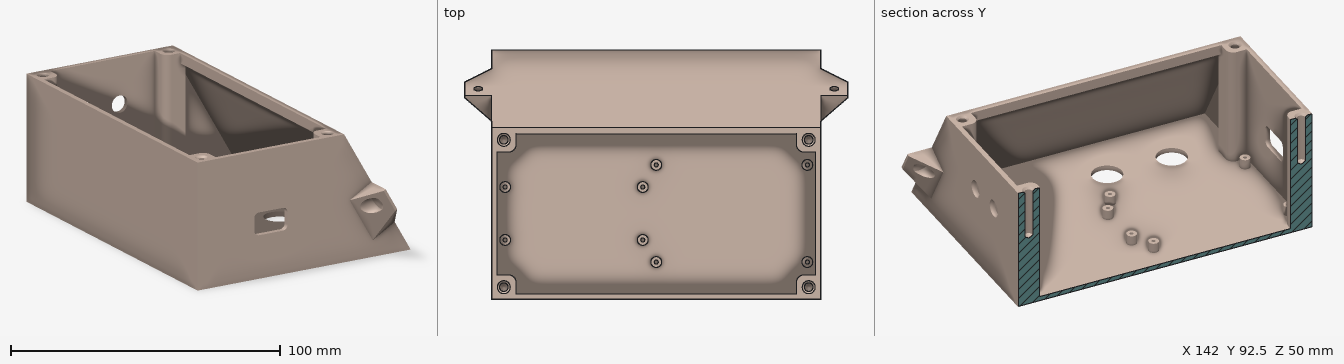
import cadquery as cq
import math

length = 122.0
height = 50.0
slope_angle = math.radians(60)
wall = 2.0
top_depth = 63.6
lip_height = 4.0

slope_run = height / math.tan(slope_angle)
base_depth = top_depth + slope_run
half_length = length / 2
slope_wall_y = wall / math.sin(slope_angle)

post_size = 9.1
post_radius = 3.0
screw_inset = 4.5
screw_diameter = 3.2
screw_depth = 20.0
screw_mouth_diameter = 4.8
screw_tip_angle = math.radians(118)

standoff_diameter = 4.0
standoff_height = 4.0
pilot_diameter = 1.5
boards = [(28.0, 56.0, 36.0), (-30.5, 51.0, 19.6)]

end_hole_diameter = 6.8
end_hole_height = 31.8
end_hole_spots = [24.3, 39.3]
floor_hole_diameter = 12.0
floor_hole_spots = [(7.9, 67.9), (34.7, 67.9)]
port_width = 14.4
port_height = 8.9
port_bottom = 17.0
port_radius = 2.0

lug_reach = 10.0
lug_root_length = 20.0
lug_tip_length = 10.0
lug_root_thickness = 11.0
lug_tip_thickness = 1.0
lug_hole_diameter = 3.2
lug_head_diameter = 6.8
lug_seat_thickness = 2.0


def slope_y(z):
    """Y of the outer sloped face at height z."""
    return base_depth - z / math.tan(slope_angle)


def extrude_along_x(points):
    """Prism between the end walls' outer faces from (Y, Z) points."""
    return cq.Workplane("YZ").polyline(points).close().extrude(half_length, both=True)


def box_between(low, high):
    """Axis-aligned box from its low corner to its high corner."""
    size = [b - a for a, b in zip(low, high)]
    return cq.Workplane("XY").box(*size, centered=False).translate(low)


def make_shell():
    outer = extrude_along_x([(0, 0), (base_depth, 0), (top_depth, height), (0, height)])
    lip_y = top_depth - slope_wall_y
    lip_z = height - lip_height
    cavity = extrude_along_x([
        (wall, wall),
        (slope_y(wall) - slope_wall_y, wall),
        (slope_y(lip_z) - slope_wall_y, lip_z),
        (lip_y, lip_z),
        (lip_y, height),
        (wall, height),
    ])
    inner_half = half_length - wall
    between_ends = box_between((-inner_half, 0, 0), (inner_half, base_depth, height))
    return outer.cut(cavity.intersect(between_ends))


def corner_spots(inset):
    """Points set in from the four corners of the top face."""
    x = half_length - inset
    return [(sx * x, y) for sx in (-1, 1) for y in (inset, top_depth - inset)]


def make_posts():
    block = (
        cq.Workplane("XY")
        .pushPoints(corner_spots(post_size / 2))
        .rect(post_size, post_size)
        .extrude(height)
    )
    inner_x = half_length - post_size
    for sx in (-1, 1):
        for y in (post_size, top_depth - post_size):
            edge = cq.selectors.NearestToPointSelector((sx * inner_x, y, height / 2))
            block = block.edges(edge).fillet(post_radius)
    return block


def cut_lid_screws(body):
    """Blind holes with a 45-degree countersunk mouth and a conical bottom."""
    mouth_depth = (screw_mouth_diameter - screw_diameter) / 2
    tip_length = screw_diameter / 2 / math.tan(screw_tip_angle / 2)
    profile = [
        (0, 0),
        (screw_mouth_diameter / 2, 0),
        (screw_diameter / 2, -mouth_depth),
        (screw_diameter / 2, -screw_depth),
        (0, -screw_depth - tip_length),
    ]
    hole = cq.Workplane("XZ").polyline(profile).close().revolve(360, (0, 0), (0, 1))
    for x, y in corner_spots(screw_inset):
        body = body.cut(hole.translate((x, y, height)))
    return body


def add_standoffs(body):
    for centre_x, spacing_x, spacing_y in boards:
        pattern = (
            cq.Workplane("XY", origin=(centre_x, top_depth / 2, wall))
            .rect(spacing_x, spacing_y, forConstruction=True)
            .vertices()
        )
        body = body.union(pattern.circle(standoff_diameter / 2).extrude(standoff_height))
        body = body.cut(pattern.circle(pilot_diameter / 2).extrude(standoff_height))
    return body


def cut_openings(body):
    port_middle = port_bottom + port_height / 2
    end_holes = (
        cq.Workplane("YZ", origin=(-half_length, 0, 0))
        .pushPoints([(y, end_hole_height) for y in end_hole_spots])
        .circle(end_hole_diameter / 2)
        .extrude(wall)
    )
    floor_holes = (
        cq.Workplane("XY")
        .pushPoints(floor_hole_spots)
        .circle(floor_hole_diameter / 2)
        .extrude(wall)
    )
    port = (
        cq.Workplane("YZ", origin=(half_length - wall, top_depth / 2, port_middle))
        .rect(port_width, port_height)
        .extrude(wall)
        .edges("|X")
        .fillet(port_radius)
    )
    return body.cut(end_holes).cut(floor_holes).cut(port)


def make_lug():
    """Lug on the +X end wall, its mounting face flush with the sloped face."""
    normal = (0, math.sin(slope_angle), math.cos(slope_angle))
    face = cq.Plane(origin=(half_length, slope_y(height / 2), height / 2), xDir=(1, 0, 0), normal=normal)
    upper = -lug_tip_length / 2
    footprint = [
        (0, upper),
        (lug_reach, upper),
        (lug_reach, upper + lug_tip_length),
        (0, upper + lug_root_length),
    ]
    plate = cq.Workplane(face).polyline(footprint).close().extrude(-lug_root_thickness)
    wedge_profile = [
        (0, 0),
        (lug_reach, 0),
        (lug_reach, lug_tip_thickness),
        (0, lug_root_thickness),
    ]
    wedge_plane = cq.Plane(origin=face.toWorldCoords((0, upper, 0)), xDir=(1, 0, 0), normal=face.yDir)
    wedge = cq.Workplane(wedge_plane).polyline(wedge_profile).close().extrude(lug_root_length)
    hole_x = lug_reach / 2
    hole = cq.Workplane(face).center(hole_x, 0).circle(lug_hole_diameter / 2).extrude(-lug_root_thickness)
    cone_end = lug_seat_thickness + (lug_head_diameter - lug_hole_diameter) / 2
    head_profile = [
        (0, -lug_seat_thickness),
        (lug_hole_diameter / 2, -lug_seat_thickness),
        (lug_head_diameter / 2, -cone_end),
        (lug_head_diameter / 2, -lug_root_thickness),
        (0, -lug_root_thickness),
    ]
    head_plane = cq.Plane(origin=face.toWorldCoords((hole_x, 0, 0)), xDir=(1, 0, 0), normal=-face.yDir)
    head = cq.Workplane(head_plane).polyline(head_profile).close().revolve(360, (0, 0), (0, 1))
    return plate.intersect(wedge), hole.union(head)


body = make_shell().union(make_posts())
body = cut_lid_screws(body)
body = add_standoffs(body)
body = cut_openings(body)
lug, lug_hole = make_lug()
lug = lug.cut(lug_hole)
result = body.union(lug).union(lug.mirror("YZ"))